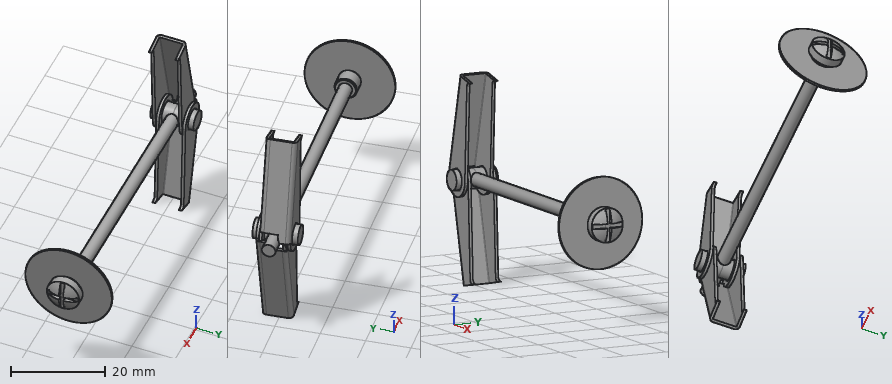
import cadquery as cq
import math


rod_diameter = 3.0
rod_start = -7.38
pin_diameter = 4.5
pin_length = 10.0
collar_diameter = 5.0
collar_length = 3.4
collar_chamfer = 0.25
washer_diameter = 20.0
washer_thickness = 0.5
washer_start = 57.65
head_diameter = 7.5
head_neck_diameter = 5.4
head_cone_length = 1.05
head_rim_length = 1.9
head_dome_height = 1.15
slot_width = 1.0
slot_depth = 1.05

washer_end = washer_start + washer_thickness
collar_start = washer_start - collar_length
rim_start = washer_end + head_cone_length
rim_end = rim_start + head_rim_length
head_end = rim_end + head_dome_height

wing_tilt = 13.5
sheet = 0.68
flange_gap = 0.12
wing_width = 6.8
wing_length = 22.5
tip_depth = 5.0
tip_notch_radius = 1.0
bend_radius = 1.0
lug_radius = 3.72
pin_hole_diameter = 4.8
web_notch_top = 1.0
web_notch_edge = -0.75

web_face = -(lug_radius + sheet)
tip_edge = web_face + tip_depth
half_width = wing_width / 2
wing_offset = (sheet + flange_gap) / 2
inner_bend_radius = flange_gap
web_tail = lug_radius * math.tan(math.radians(wing_tilt))


def make_screw():
    head_radius = head_diameter / 2
    dome_radius = (head_radius**2 + head_dome_height**2) / (2 * head_dome_height)
    mid_angle = math.asin(head_radius / dome_radius) / 2
    dome_middle = (
        head_end - dome_radius * (1 - math.cos(mid_angle)),
        dome_radius * math.sin(mid_angle),
    )
    turned = (
        cq.Workplane("XY")
        .moveTo(rod_start, 0)
        .lineTo(rod_start, rod_diameter / 2)
        .lineTo(collar_start, rod_diameter / 2)
        .lineTo(collar_start, collar_diameter / 2 - collar_chamfer)
        .lineTo(collar_start + collar_chamfer, collar_diameter / 2)
        .lineTo(washer_start, collar_diameter / 2)
        .lineTo(washer_start, washer_diameter / 2)
        .lineTo(washer_end, washer_diameter / 2)
        .lineTo(washer_end, head_neck_diameter / 2)
        .lineTo(rim_start, head_diameter / 2)
        .lineTo(rim_end, head_diameter / 2)
        .threePointArc(dome_middle, (head_end, 0))
        .close()
        .revolve(360, (0, 0, 0), (1, 0, 0))
    )
    cross_pin = cq.Workplane("XZ").circle(pin_diameter / 2).extrude(pin_length / 2, both=True)
    slot_center = (head_end - slot_depth / 2, 0, 0)
    slot_along_y = cq.Workplane("XY").box(slot_depth, head_diameter, slot_width).translate(slot_center)
    slot_along_z = cq.Workplane("XY").box(slot_depth, slot_width, head_diameter).translate(slot_center)
    return turned.union(cross_pin).cut(slot_along_y).cut(slot_along_z)


def wing_channel():
    """U-shaped sheet from the tail of the web to the tip."""
    depth = lug_radius - web_face
    length = wing_length + web_tail
    middle = (web_face + depth / 2, 0, length / 2 - web_tail)
    outside = cq.Workplane("XY").box(depth, wing_width, length).edges("|Z and <X").fillet(bend_radius)
    inside = (
        cq.Workplane("XY")
        .box(depth, wing_width - 2 * sheet, length)
        .edges("|Z and <X")
        .fillet(inner_bend_radius)
        .translate((sheet, 0, 0))
    )
    return outside.cut(inside).translate(middle)


def wing_side_profile():
    """Side outline: tapers from the lug to a hooked tip."""
    notch_x = tip_edge - tip_notch_radius
    notch_z = wing_length - tip_notch_radius
    notch_middle = (
        tip_edge - tip_notch_radius * math.cos(math.pi / 4),
        notch_z + tip_notch_radius * math.sin(math.pi / 4),
    )
    tangent_angle = math.atan2(notch_z, notch_x) - math.acos(lug_radius / math.hypot(notch_x, notch_z))
    tangent_point = (lug_radius * math.cos(tangent_angle), lug_radius * math.sin(tangent_angle))
    return (
        cq.Workplane("XZ")
        .moveTo(web_face, -web_tail)
        .lineTo(web_face, wing_length)
        .lineTo(tip_edge, wing_length)
        .threePointArc(notch_middle, (notch_x, notch_z))
        .lineTo(*tangent_point)
        .lineTo(0, 0)
        .lineTo(0, -web_tail)
        .close()
        .extrude(half_width, both=True)
    )


def make_wing():
    wing = wing_channel().intersect(wing_side_profile())

    notch_height = web_tail + web_notch_top
    notch = (
        cq.Workplane("XY")
        .box(bend_radius, half_width - web_notch_edge, notch_height, centered=False)
        .translate((web_face, web_notch_edge, -web_tail))
    )
    wing = wing.cut(notch)

    flat_tab = (
        cq.Workplane("XY")
        .box(bend_radius, sheet, notch_height, centered=False)
        .translate((web_face, half_width - sheet, -web_tail))
    )
    wing = wing.union(flat_tab)

    bend_zone = (
        cq.Workplane("XY")
        .box(bend_radius, wing_width, lug_radius + web_tail, centered=(False, True, False))
        .translate((web_face, 0, -web_tail))
    )
    for outer_face in (half_width, sheet - half_width):
        lug = cq.Workplane("XZ", origin=(0, outer_face, 0)).circle(lug_radius).extrude(sheet)
        wing = wing.union(lug.cut(bend_zone))
    pin_hole = cq.Workplane("XZ").circle(pin_hole_diameter / 2).extrude(half_width, both=True)
    wing = wing.cut(pin_hole)

    wing = wing.rotate((0, 0, 0), (0, 1, 0), wing_tilt).translate((0, -wing_offset, 0))
    rod_clearance = cq.Workplane("YZ").circle(rod_diameter / 2).extrude(-2 * web_face, both=True)
    return wing.cut(rod_clearance)


screw = make_screw()
wing = make_wing()
wings = [wing.rotate((0, 0, 0), (1, 0, 0), turn) for turn in (0, 180)]

result = cq.Compound.makeCompound([screw.solids().val(), *[each.solids().val() for each in wings]])